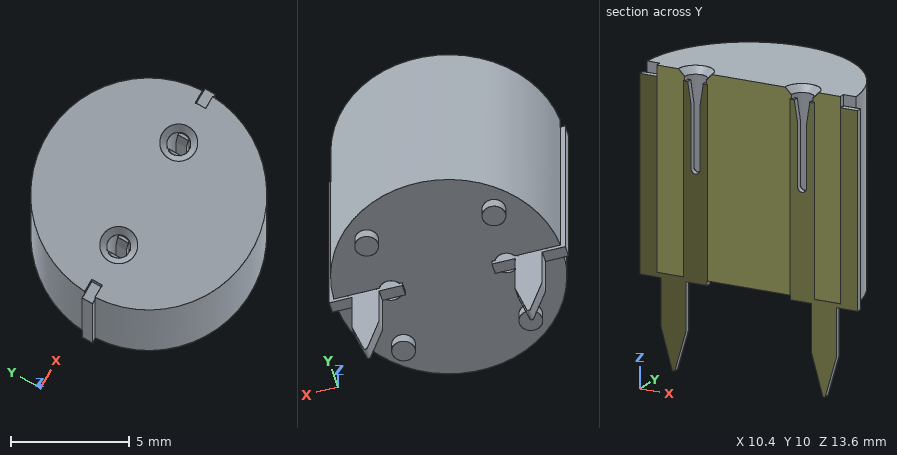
import cadquery as cq
import math

housing_diameter = 10.0
housing_height = 9.3
housing_radius = housing_diameter / 2

peg_diameter = 1.0
peg_height = 0.5
peg_offset = 2.8

hole_offset = 2.55
hole_diameter = 1.0
hole_mouth_diameter = 1.6
hole_radius = hole_diameter / 2
mouth_radius = hole_mouth_diameter / 2
mouth_depth = mouth_radius - hole_radius

sheet_thickness = 0.5
terminal_span = 10.4
terminal_recess = 0.5
terminal_top = housing_height - terminal_recess
arm_width = 0.82
arm_outer = terminal_span / 2
arm_inner = arm_outer - arm_width
foot_thickness = 0.2

contact_width = 1.14
contact_inner = hole_offset - contact_width / 2
contact_outer = hole_offset + contact_width / 2
fork_gap = 0.41
fork_mouth = 0.72
fork_lead_in = 1.0
fork_depth = 4.08
fork_bottom = terminal_top - fork_depth

pin_offset = 3.59
pin_width = 1.2
pin_length = 4.3
tip_radius = 0.08
taper_angle = math.radians(16)
tip_half_width = tip_radius * math.cos(taper_angle)
tip_height = tip_radius * (1 - math.sin(taper_angle))
taper_height = (pin_width / 2 - tip_half_width) / math.tan(taper_angle)
pin_end = -pin_length
tip_tangent_z = pin_end + tip_height
shoulder_z = tip_tangent_z + taper_height


def sheet_block(x_start, x_end, z_start, z_end):
    """Rectangle of terminal sheet, centred on Y = 0."""
    return (
        cq.Workplane("XY")
        .box(x_end - x_start, sheet_thickness, z_end - z_start, centered=(False, True, False))
        .translate((x_start, 0, z_start))
    )


def sheet_profile():
    """XZ sketch plane whose backward extrusion is one sheet thickness centred on Y = 0."""
    return cq.Workplane("XZ", origin=(0, sheet_thickness / 2, 0))


def make_fork_slot():
    """Round-bottomed slot with a flared mouth."""
    left = hole_offset - fork_gap / 2
    right = hole_offset + fork_gap / 2
    round_start = fork_bottom + fork_gap / 2
    flare_start = terminal_top - fork_lead_in
    return (
        sheet_profile()
        .moveTo(hole_offset - fork_mouth / 2, terminal_top)
        .lineTo(left, flare_start)
        .lineTo(left, round_start)
        .threePointArc((hole_offset, fork_bottom), (right, round_start))
        .lineTo(right, flare_start)
        .lineTo(hole_offset + fork_mouth / 2, terminal_top)
        .close()
        .extrude(sheet_thickness)
    )


def make_pin():
    """Tapered solder pin with a rounded tip, hanging from the foot."""
    left = pin_offset - pin_width / 2
    right = pin_offset + pin_width / 2
    return (
        sheet_profile()
        .moveTo(left, 0)
        .lineTo(left, shoulder_z)
        .lineTo(pin_offset - tip_half_width, tip_tangent_z)
        .threePointArc((pin_offset, pin_end), (pin_offset + tip_half_width, tip_tangent_z))
        .lineTo(right, shoulder_z)
        .lineTo(right, 0)
        .close()
        .extrude(sheet_thickness)
    )


def make_terminal():
    """Terminal on the +X side: outer arm, foot, forked contact and pin."""
    arm = sheet_block(arm_inner, arm_outer, -foot_thickness, terminal_top)
    foot = sheet_block(contact_inner, arm_outer, -foot_thickness, 0)
    contact = sheet_block(contact_inner, contact_outer, -foot_thickness, terminal_top)
    return arm.union(foot).union(contact).union(make_pin()).cut(make_fork_slot())


def make_housing():
    """Cylinder with pegs, entry holes and slots that receive the terminals."""
    body = cq.Workplane("XY").circle(housing_radius).extrude(housing_height)

    peg_points = [(x * peg_offset, y * peg_offset) for x in (-1, 1) for y in (-1, 1)]
    pegs = cq.Workplane("XY").pushPoints(peg_points).circle(peg_diameter / 2).extrude(-peg_height)
    body = body.union(pegs)

    hole = (
        cq.Workplane("XZ")
        .lineTo(hole_radius, 0)
        .lineTo(hole_radius, housing_height - mouth_depth)
        .lineTo(mouth_radius, housing_height)
        .lineTo(0, housing_height)
        .close()
        .revolve(360, (0, 0, 0), (0, 1, 0))
        .translate((hole_offset, 0, 0))
    )
    arm_slot = sheet_block(arm_inner, arm_outer, 0, housing_height)
    contact_slot = sheet_block(contact_inner, contact_outer, 0, terminal_top)
    cavity = hole.union(arm_slot).union(contact_slot)
    return body.cut(cavity).cut(cavity.mirror("YZ"))


housing = make_housing()

terminals = []
for turn in (0, 180):
    terminal = make_terminal().rotate((0, 0, 0), (0, 0, 1), turn)
    terminals.append(terminal.val())

result = cq.Compound.makeCompound([housing.val(), *terminals])